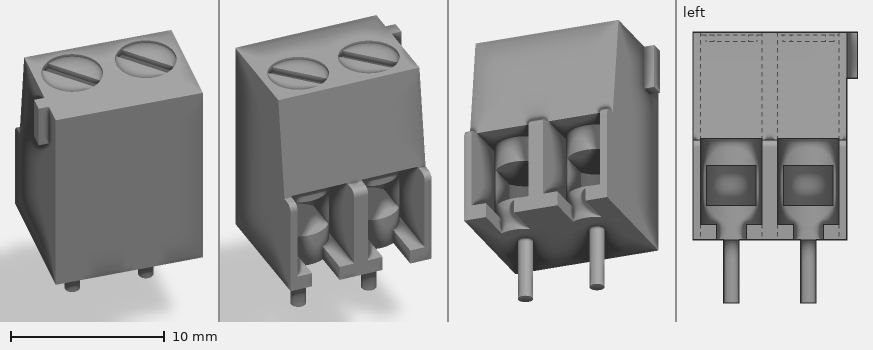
import cadquery as cq

depth = 9.0
width = 10.0
height = 13.5
shoulder_depth = 1.0
shoulder_height = 6.5
shoulder_radius = 0.5
top_front = 2.0

key_front = 6.5
key_width = 1.0
key_height = 3.0
key_reach = 0.7

pitch = 5.0
terminal_x = depth / 2
terminal_y = [-pitch / 2, pitch / 2]

entry_width = 4.0
entry_floor = 1.0
entry_top = 6.6
floor_slot_width = 1.95

screw_diameter = 4.0
screw_recess = 0.2
screw_top = height - screw_recess
drive_slot_width = 0.77
drive_slot_depth = 0.4
drive_slot_angle = 45
wire_hole_width = 3.2
wire_hole_bottom = 2.25
wire_hole_height = 2.6

pin_diameter = 1.0
pin_length = 4.1


def box(x, y_center, z, size_x, size_y, size_z):
    """Block from its low X and Z corner, centred on y_center."""
    block = cq.Workplane("XY").box(size_x, size_y, size_z, centered=(False, True, False))
    return block.translate((x, y_center, z))


def cylinder(y, z, diameter, length):
    """Upright cylinder on a terminal axis, standing on height z."""
    return cq.Workplane("XY").circle(diameter / 2).extrude(length).translate((terminal_x, y, z))


def make_housing():
    profile = (
        cq.Workplane("XZ")
        .moveTo(0, 0)
        .lineTo(0, shoulder_height - shoulder_radius)
        .radiusArc((shoulder_radius, shoulder_height), shoulder_radius)
        .lineTo(shoulder_depth, shoulder_height)
        .lineTo(top_front, height)
        .lineTo(depth, height)
        .lineTo(depth, 0)
        .close()
    )
    body = profile.extrude(width / 2, both=True)
    key_y = -(width + key_reach) / 2
    body = body.union(box(key_front, key_y, height - key_height, key_width, key_reach, key_height))
    for y in terminal_y:
        body = body.cut(cylinder(y, 0, screw_diameter, height))
        body = body.cut(box(0, y, entry_floor, terminal_x, entry_width, entry_top - entry_floor))
        body = body.cut(box(0, y, 0, terminal_x, floor_slot_width, entry_floor))
    return body


def make_screw(y):
    drive_slot = (
        cq.Workplane("XY")
        .box(2 * screw_diameter, drive_slot_width, drive_slot_depth, centered=(True, True, False))
        .rotate((0, 0, 0), (0, 0, 1), drive_slot_angle)
        .translate((terminal_x, y, screw_top - drive_slot_depth))
    )
    wire_hole = box(0, y, wire_hole_bottom, depth, wire_hole_width, wire_hole_height)
    return cylinder(y, 0, screw_diameter, screw_top).cut(drive_slot).cut(wire_hole)


def make_pin(y):
    return cylinder(y, -pin_length, pin_diameter, pin_length)


housing = make_housing()
screws = [make_screw(y) for y in terminal_y]
pins = [make_pin(y) for y in terminal_y]

bodies = [housing, *screws, *pins]
result = cq.Compound.makeCompound([body.val() for body in bodies])